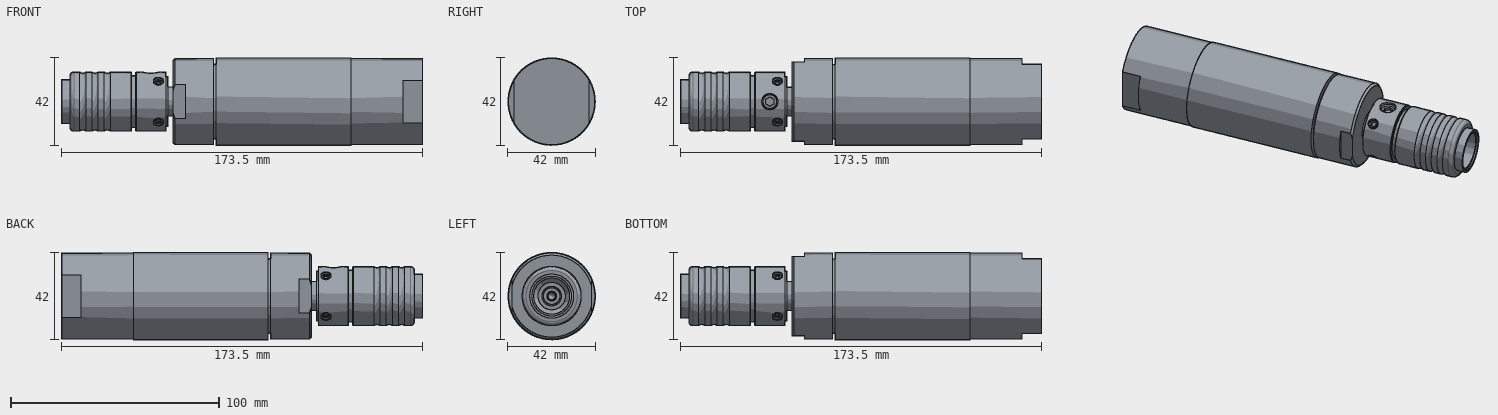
import cadquery as cq

LENGTH = 173.5

TIP_DIAMETER = 21.2
SLEEVE_START = 4.0
SLEEVE_DIAMETER = 28.5
SLEEVE_END = 33.7
SLEEVE_ROUND = 1.9
EDGE_CHAMFER = 0.3
RELIEF_DIAMETER = 25.0
COLLAR_START = 35.5
COLLAR_END = 50.1
RIM_DIAMETER = 24.0
RIM_END = 51.0
NECK_DIAMETER = 14.0

HEAD_START = 53.5
HEAD_DIAMETER = 41.5
HEAD_CHAMFER = 1.0
HEAD_END = 73.0
JOINT_DIAMETER = 36.0
BARREL_START = 74.3
BARREL_END = 139.0
BARREL_DIAMETER = 42.0
TAIL_DIAMETER = HEAD_DIAMETER

GRIP_COUNT = 3
GRIP_START = 8.7
GRIP_PITCH = 5.9
GRIP_WIDTH = GRIP_PITCH / 2
GRIP_DEPTH = 0.5

HEAD_FLAT_WIDTH = 38.2
HEAD_FLAT_LENGTH = 6.0
TAIL_FLAT_WIDTH = 36.1
TAIL_FLAT_LENGTH = 9.4

MOUTH_DIAMETER = 19.0
MOUTH_DEPTH = 0.9
BORE_DIAMETER = 17.4
BORE_DEPTH = 26.0
SEAT_DIAMETER = 13.2
PORT_DIAMETER = 9.4
PORT_FLOOR_DIAMETER = 8.0
PORT_DEPTH = 2.6
PILOT_DIAMETER = 4.7
PILOT_FLOOR_DIAMETER = 4.0
PILOT_DEPTH = 1.7
DRILL_DIAMETER = 3.5
DRILL_DEPTH = 1.7

HEXAGON_TURN = 90

SCREW_X = 46.5
SCREW_HOLE_DIAMETER = 4.9
SCREW_FLOOR_DIAMETER = 3.8
SCREW_HOLE_DEPTH = 0.7
SCREW_SOCKET_DIAMETER = 2.6
SCREW_SOCKET_DEPTH = 2.0
SCREW_ANGLES = (45, 135, 225, 315)

PLUG_X = 42.9
PLUG_HOLE_DIAMETER = 7.8
PLUG_FLOOR_DIAMETER = 6.6
PLUG_HOLE_DEPTH = 1.4
PLUG_SOCKET_DIAMETER = 4.5
PLUG_SOCKET_DEPTH = 3.5


def cylinder(diameter, start, end):
    """Round bar on the X axis between two stations."""
    return cq.Workplane("YZ").workplane(offset=start).circle(diameter / 2).extrude(end - start)


def revolve_about_x(outline):
    return outline.close().revolve(360, (0, 0, 0), (1, 0, 0))


def turned_body():
    sleeve = cylinder(SLEEVE_DIAMETER, SLEEVE_START, SLEEVE_END)
    sleeve = sleeve.faces("<X").edges().fillet(SLEEVE_ROUND)
    sleeve = sleeve.faces(">X").edges().chamfer(EDGE_CHAMFER)
    collar = cylinder(SLEEVE_DIAMETER, COLLAR_START, COLLAR_END)
    collar = collar.faces("<X").edges().chamfer(EDGE_CHAMFER)
    head = cylinder(HEAD_DIAMETER, HEAD_START, HEAD_END)
    head = head.faces("<X").edges().chamfer(HEAD_CHAMFER)
    return (
        cylinder(TIP_DIAMETER, 0, SLEEVE_START)
        .union(sleeve)
        .union(cylinder(RELIEF_DIAMETER, SLEEVE_END, COLLAR_START))
        .union(collar)
        .union(cylinder(RIM_DIAMETER, COLLAR_END, RIM_END))
        .union(cylinder(NECK_DIAMETER, RIM_END, HEAD_START))
        .union(head)
        .union(cylinder(JOINT_DIAMETER, HEAD_END, BARREL_START))
        .union(cylinder(BARREL_DIAMETER, BARREL_START, BARREL_END))
        .union(cylinder(TAIL_DIAMETER, BARREL_END, LENGTH))
    )


def grip_groove(start):
    """Ring with an arc-shaped section that dips below the sleeve surface."""
    radius = SLEEVE_DIAMETER / 2
    outline = (
        cq.Workplane("XY")
        .moveTo(start, radius)
        .threePointArc((start + GRIP_WIDTH / 2, radius - GRIP_DEPTH), (start + GRIP_WIDTH, radius))
        .lineTo(start + GRIP_WIDTH, radius + GRIP_DEPTH)
        .lineTo(start, radius + GRIP_DEPTH)
    )
    return revolve_about_x(outline)


def flat_cutters(width, start, length):
    """Two blocks that leave the given width across Y."""
    block_depth = BARREL_DIAMETER - width
    offset = (width + block_depth) / 2
    return (
        cq.Workplane("XY")
        .pushPoints([(start + length / 2, -offset), (start + length / 2, offset)])
        .box(length, block_depth, BARREL_DIAMETER)
    )


def nose_bore():
    """Bore with conical seat, tapered port, pilot hole and drill-point end."""
    seat_x = BORE_DEPTH + (BORE_DIAMETER - SEAT_DIAMETER) / 2
    port_x = seat_x + PORT_DEPTH
    pilot_x = port_x + PILOT_DEPTH
    drill_x = pilot_x + DRILL_DEPTH
    outline = (
        cq.Workplane("XY")
        .moveTo(0, 0)
        .lineTo(0, MOUTH_DIAMETER / 2)
        .lineTo(MOUTH_DEPTH, MOUTH_DIAMETER / 2)
        .lineTo(MOUTH_DEPTH, BORE_DIAMETER / 2)
        .lineTo(BORE_DEPTH, BORE_DIAMETER / 2)
        .lineTo(seat_x, SEAT_DIAMETER / 2)
        .lineTo(seat_x, PORT_DIAMETER / 2)
        .lineTo(port_x, PORT_FLOOR_DIAMETER / 2)
        .lineTo(port_x, PILOT_DIAMETER / 2)
        .lineTo(pilot_x, PILOT_FLOOR_DIAMETER / 2)
        .lineTo(pilot_x, DRILL_DIAMETER / 2)
        .lineTo(drill_x, 0)
    )
    return revolve_about_x(outline)


def socket_recess(x, hole_diameter, floor_diameter, hole_depth, socket_diameter, socket_depth, angle):
    """Tapered recess with a hexagon socket in its floor, turned about X from the top."""
    top = SLEEVE_DIAMETER / 2
    floor_depth = hole_depth + (hole_diameter - floor_diameter) / 2
    profile = (
        cq.Workplane("XZ", origin=(x, 0, top))
        .lineTo(hole_diameter / 2, 0)
        .lineTo(hole_diameter / 2, -hole_depth)
        .lineTo(floor_diameter / 2, -floor_depth)
        .lineTo(0, -floor_depth)
        .close()
    )
    recess = profile.revolve(360, (0, 0, 0), (0, 1, 0))
    hexagon = cq.Workplane("XY", origin=(x, 0, top)).transformed(rotate=(0, 0, HEXAGON_TURN))
    socket = hexagon.polygon(6, socket_diameter).extrude(-socket_depth)
    return recess.union(socket).rotate((0, 0, 0), (1, 0, 0), angle)


result = turned_body()

for index in range(GRIP_COUNT):
    result = result.cut(grip_groove(GRIP_START + index * GRIP_PITCH))

result = result.cut(flat_cutters(HEAD_FLAT_WIDTH, HEAD_START, HEAD_FLAT_LENGTH))
result = result.cut(flat_cutters(TAIL_FLAT_WIDTH, LENGTH - TAIL_FLAT_LENGTH, TAIL_FLAT_LENGTH))
result = result.cut(nose_bore())

for screw_angle in SCREW_ANGLES:
    result = result.cut(
        socket_recess(
            SCREW_X,
            SCREW_HOLE_DIAMETER,
            SCREW_FLOOR_DIAMETER,
            SCREW_HOLE_DEPTH,
            SCREW_SOCKET_DIAMETER,
            SCREW_SOCKET_DEPTH,
            screw_angle,
        )
    )

result = result.cut(
    socket_recess(
        PLUG_X,
        PLUG_HOLE_DIAMETER,
        PLUG_FLOOR_DIAMETER,
        PLUG_HOLE_DEPTH,
        PLUG_SOCKET_DIAMETER,
        PLUG_SOCKET_DEPTH,
        0,
    )
)